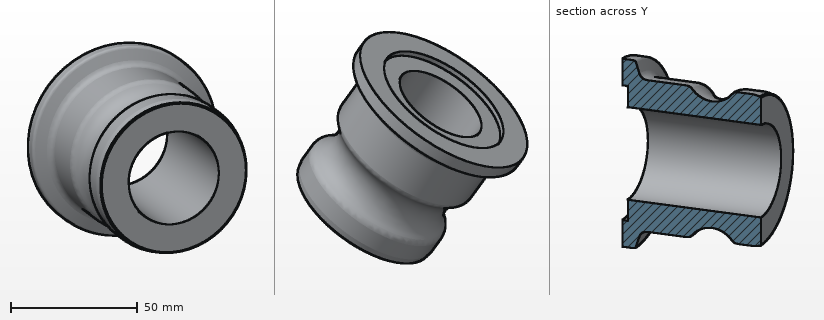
import cadquery as cq
import math

length = 60.4
flange_radius = 78 / 2
body_radius = 63.0 / 2
bore_radius = 38.1 / 2

flange_rim_width = 5.8
flange_cone_angle = 18.5
flange_rim_round = 1.4
flange_root_fillet = 3.1

recess_radius = 55.6 / 2
recess_depth = 2.35

groove_position = 39.1
groove_depth = 5.2
groove_section_radius = 11.2
groove_edge_round = 3.1

nose_taper_length = 3.1
nose_taper_drop = 0.6
nose_edge_chamfer = 0.4

flange_cone_length = (flange_radius - body_radius) * math.tan(math.radians(flange_cone_angle))
flange_end = flange_rim_width + flange_cone_length
groove_bottom_radius = body_radius - groove_depth
groove_half_width = math.sqrt(groove_section_radius**2 - (groove_section_radius - groove_depth) ** 2)
groove_start = groove_position - groove_half_width
groove_end = groove_position + groove_half_width


def edges_at(solid, x, radius):
    """Select the circular edges in the plane at x, up to the given radius."""
    margin = 0.1
    reach = radius + margin
    low_corner = (x - margin, -reach, -reach)
    high_corner = (x + margin, reach, reach)
    return solid.edges(cq.selectors.BoxSelector(low_corner, high_corner, boundingbox=True))


def make_body():
    """Revolve the outer outline and round its edges."""
    body = (
        cq.Workplane("XY")
        .moveTo(0, 0)
        .lineTo(0, flange_radius)
        .lineTo(flange_rim_width, flange_radius)
        .lineTo(flange_end, body_radius)
        .lineTo(groove_start, body_radius)
        .threePointArc((groove_position, groove_bottom_radius), (groove_end, body_radius))
        .lineTo(length - nose_taper_length, body_radius)
        .lineTo(length, body_radius - nose_taper_drop)
        .lineTo(length, 0)
        .close()
        .revolve(360, (0, 0, 0), (1, 0, 0))
    )
    body = edges_at(body, flange_rim_width, flange_radius).fillet(flange_rim_round)
    body = edges_at(body, flange_end, body_radius).fillet(flange_root_fillet)
    for groove_edge in (groove_start, groove_end):
        body = edges_at(body, groove_edge, body_radius).fillet(groove_edge_round)
    return body.faces(">X").edges().chamfer(nose_edge_chamfer)


def make_cylinder(radius, depth):
    """Cylinder on the X axis, running from the flange face toward the nose."""
    return cq.Workplane("YZ").circle(radius).extrude(depth)


result = (
    make_body()
    .cut(make_cylinder(recess_radius, recess_depth))
    .cut(make_cylinder(bore_radius, length))
)